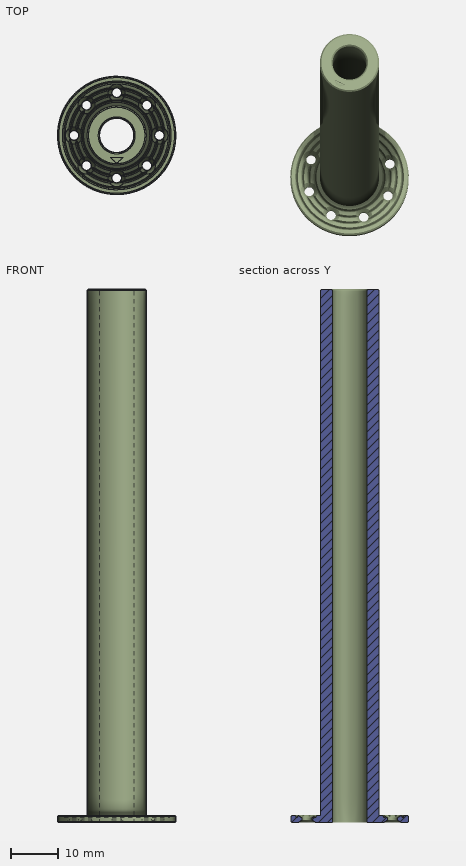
import cadquery as cq

total_height = 112.5
tube_radius = 12.5 / 2
bore_radius = 7.2 / 2
flange_radius = 25.0 / 2
flange_thickness = 1.56
edge_chamfer = 0.3

groove_count = 4
first_groove_radius = 7.28
groove_pitch = 1.3
groove_width = 0.6
groove_depth = 0.48

hole_count = 8
hole_circle_radius = 9.0
hole_radius = 2.0 / 2
countersink_radius = 3.6 / 2
countersink_depth = 0.55

mark_width = 2.6
mark_base_y = -4.7
mark_tip_y = -5.9
mark_depth = 0.3


def revolve_about_z(points):
    """Solid of revolution from (radius, height) points."""
    return cq.Workplane("XZ").polyline(points).close().revolve(360, (0, 0, 0), (0, 1, 0))


def make_body():
    """Flanged tube with its bore and chamfered edges."""
    return revolve_about_z([
        (bore_radius, 0),
        (flange_radius - edge_chamfer, 0),
        (flange_radius, edge_chamfer),
        (flange_radius, flange_thickness - edge_chamfer),
        (flange_radius - edge_chamfer, flange_thickness),
        (tube_radius, flange_thickness),
        (tube_radius, total_height - edge_chamfer),
        (tube_radius - edge_chamfer, total_height),
        (bore_radius + edge_chamfer, total_height),
        (bore_radius, total_height - edge_chamfer),
    ])


def make_groove(radius):
    """Ring of V section, used to cut one groove."""
    return revolve_about_z([
        (radius - groove_width / 2, flange_thickness),
        (radius, flange_thickness - groove_depth),
        (radius + groove_width / 2, flange_thickness),
    ])


def make_hole(angle):
    """Through hole with a countersink at each end, placed on the hole circle."""
    hole = revolve_about_z([
        (0, 0),
        (countersink_radius, 0),
        (hole_radius, countersink_depth),
        (hole_radius, flange_thickness - countersink_depth),
        (countersink_radius, flange_thickness),
        (0, flange_thickness),
    ])
    return hole.translate((hole_circle_radius, 0, 0)).rotate((0, 0, 0), (0, 0, 1), angle)


def make_index_mark():
    """Triangular prism, used to sink the mark into the top face."""
    corners = [
        (-mark_width / 2, mark_base_y),
        (mark_width / 2, mark_base_y),
        (0, mark_tip_y),
    ]
    top_plane = cq.Workplane("XY").workplane(offset=total_height)
    return top_plane.polyline(corners).close().extrude(-mark_depth)


body = make_body()

for groove_index in range(groove_count):
    body = body.cut(make_groove(first_groove_radius + groove_index * groove_pitch))

for hole_index in range(hole_count):
    body = body.cut(make_hole(hole_index * 360 / hole_count))

result = body.cut(make_index_mark())